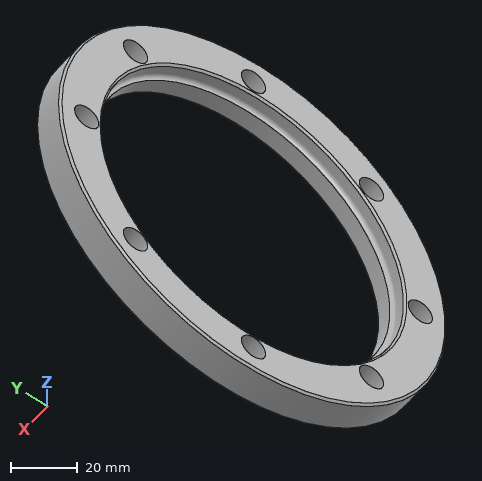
import cadquery as cq

thickness = 12.0
outer_diameter = 145.0
bore_diameter = 110.5
edge_chamfer = 0.75

recess_diameter = 113.5
recess_depth = 5.5
recess_fillet = (recess_diameter - bore_diameter) / 2

bolt_count = 8
bolt_circle_diameter = 125.0
bolt_hole_diameter = 9.0

front_x = -thickness / 2
back_x = thickness / 2


def make_disc():
    """Solid disc with both outer rims chamfered."""
    return (
        cq.Workplane("YZ", origin=(front_x, 0, 0))
        .circle(outer_diameter / 2)
        .extrude(thickness)
        .edges()
        .chamfer(edge_chamfer)
    )


def make_opening():
    """Central cutter: chamfered recess, rounded step, then the bore with a chamfered exit."""
    bore_radius = bore_diameter / 2
    recess_radius = recess_diameter / 2
    step_x = front_x + recess_depth
    profile = (
        cq.Workplane("XY")
        .moveTo(front_x, 0)
        .lineTo(front_x, recess_radius + edge_chamfer)
        .lineTo(front_x + edge_chamfer, recess_radius)
        .lineTo(step_x - recess_fillet, recess_radius)
        .radiusArc((step_x, bore_radius), recess_fillet)
        .lineTo(back_x - edge_chamfer, bore_radius)
        .lineTo(back_x, bore_radius + edge_chamfer)
        .lineTo(back_x, 0)
        .close()
    )
    return profile.revolve(360, (0, 0, 0), (1, 0, 0))


def make_bolt_holes():
    """Through-hole cutters evenly spaced on the bolt circle."""
    return (
        cq.Workplane("YZ", origin=(front_x, 0, 0))
        .polarArray(bolt_circle_diameter / 2, 0, 360, bolt_count)
        .circle(bolt_hole_diameter / 2)
        .extrude(thickness)
    )


result = make_disc().cut(make_opening()).cut(make_bolt_holes())